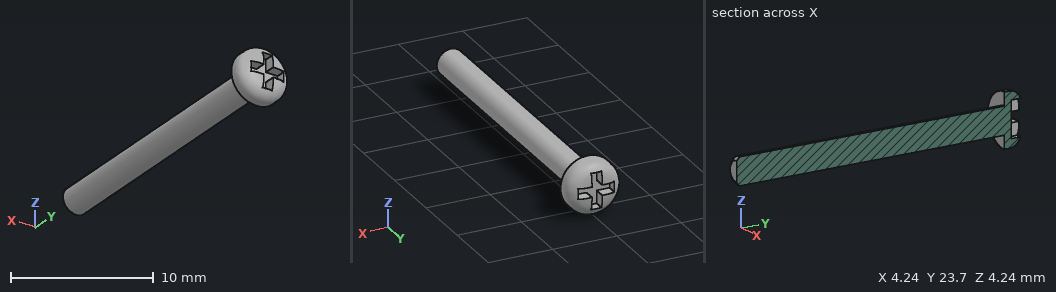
import cadquery as cq

overall_length = 23.73
shank_diameter = 2.18
tip_chamfer_length = 0.27
tip_diameter = 1.64

head_diameter = 4.24
head_height = 1.52
head_rim_height = 0.55
head_flat_diameter = 1.56

shank_length = overall_length - head_height

recess_span = 2.8
recess_wing_width = 0.8
recess_depth = 0.9


def make_shank():
    """Cylinder with a tapered tip, revolved about the Y axis."""
    shank_radius = shank_diameter / 2
    return (
        cq.Workplane("XY")
        .moveTo(0, -shank_length)
        .lineTo(tip_diameter / 2, -shank_length)
        .lineTo(shank_radius, -shank_length + tip_chamfer_length)
        .lineTo(shank_radius, 0)
        .lineTo(0, 0)
        .close()
        .revolve(360, (0, 0, 0), (0, 1, 0))
    )


def make_head():
    """Straight rim under a quarter-ellipse crown that runs into a small flat top."""
    head_radius = head_diameter / 2
    flat_radius = head_flat_diameter / 2
    crown_width = head_radius - flat_radius
    crown_height = head_height - head_rim_height
    return (
        cq.Workplane("XY")
        .lineTo(head_radius, 0)
        .lineTo(head_radius, head_rim_height)
        .ellipseArc(crown_width, crown_height, 0, 90, startAtCurrent=True)
        .lineTo(0, head_height)
        .close()
        .revolve(360, (0, 0, 0), (0, 1, 0))
    )


def make_cross_recess():
    """Two crossing bars, one along X and one along Z, sunk from the head top."""
    centre = (0, head_height - recess_depth / 2, 0)
    bar_along_x = cq.Workplane("XY").box(recess_span, recess_depth, recess_wing_width)
    bar_along_z = cq.Workplane("XY").box(recess_wing_width, recess_depth, recess_span)
    return bar_along_x.union(bar_along_z).translate(centre)


result = make_shank().union(make_head()).cut(make_cross_recess())